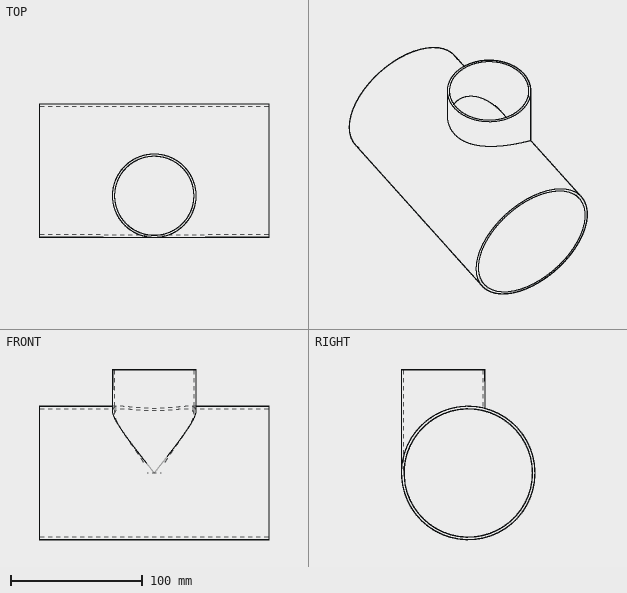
import cadquery as cq

main_length = 174.6
main_outer_diameter = 101.6
main_inner_diameter = 97.5

branch_outer_diameter = 63.5
branch_inner_diameter = 60.2
branch_top = 78.5
branch_y = -(main_outer_diameter - branch_outer_diameter) / 2


def main_cylinder(diameter):
    """Cylinder along X over the full length of the main pipe."""
    return cq.Workplane("YZ").circle(diameter / 2).extrude(main_length / 2, both=True)


def branch_cylinder(diameter):
    """Cylinder from the height of the main axis up to the branch mouth."""
    return cq.Workplane("XY").center(0, branch_y).circle(diameter / 2).extrude(branch_top)


outer_body = main_cylinder(main_outer_diameter).union(branch_cylinder(branch_outer_diameter))

result = outer_body.cut(main_cylinder(main_inner_diameter)).cut(branch_cylinder(branch_inner_diameter))